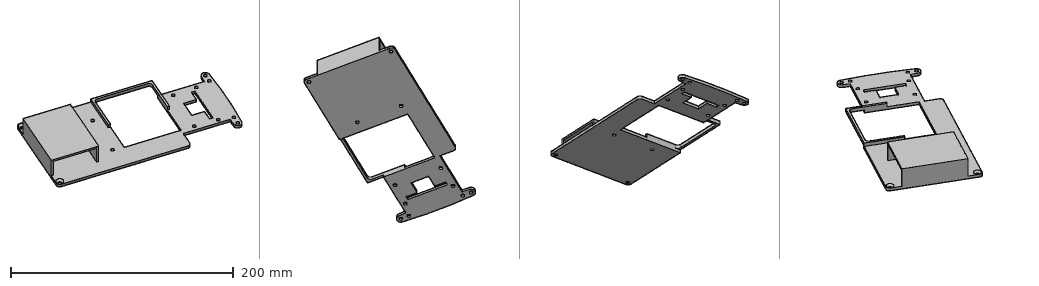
import cadquery as cq

plate_width = 90.0
plate_thickness = 3.0
corner_radius = 3.2
half_width = plate_width / 2

total_length = 187.0
neck_half_width = 28.0
lug_x = 35.0
lug_y = 181.8
lug_radius = 4.0
lug_root_y = 177.5

window_left = -42.6
window_right = 23.0
window_front = 75.5
window_back = 131.5
rim_width = 2.2
rim_right = -7.0
rim_top = 6.5
rim_corner_radius = 3.2

tunnel_width = 61.7
tunnel_depth = 46.8
tunnel_top = 21.5
tunnel_wall = 2.0

slot_half_width = 19.6
slot_back = 164.4
slot_step = 161.0
slot_front = 148.5
stem_half_width = 8.8

hole_diameter = 3.2
hole_pairs = [(lug_x, lug_y), (27.0, lug_y), (23.7, 167.7), (22.8, 144.5), (21.7, 64.5)]
corner_screw = (40.8, 4.0)
countersink_diameter = 7.1
countersink_angle = 90


def box(x_min, x_max, y_min, y_max, z_min, z_max):
    return cq.Workplane("XY").box(
        x_max - x_min, y_max - y_min, z_max - z_min, centered=False
    ).translate((x_min, y_min, z_min))


def mirrored(pairs):
    return [(side * x, y) for x, y in pairs for side in (-1, 1)]


def make_body():
    body = box(-half_width, half_width, 0, window_back, 0, plate_thickness)
    body = body.edges("|Z and (<Y or >X)").fillet(corner_radius)
    open_window = box(-half_width, window_right, window_front, window_back, 0, plate_thickness)
    return body.cut(open_window)


def make_neck():
    lug_front = lug_y - lug_radius
    lug_back = lug_y + lug_radius
    lug_end = lug_x + lug_radius
    return (
        cq.Workplane("XY")
        .moveTo(neck_half_width, window_back)
        .lineTo(neck_half_width, lug_root_y)
        .lineTo(lug_x, lug_front)
        .threePointArc((lug_end, lug_y), (lug_x, lug_back))
        .threePointArc((0, total_length), (-lug_x, lug_back))
        .threePointArc((-lug_end, lug_y), (-lug_x, lug_front))
        .lineTo(-neck_half_width, lug_root_y)
        .lineTo(-neck_half_width, window_back)
        .close()
        .extrude(plate_thickness)
    )


def make_slot():
    bar = box(-slot_half_width, slot_half_width, slot_step, slot_back, 0, plate_thickness)
    stem = box(-stem_half_width, stem_half_width, slot_front, slot_step, 0, plate_thickness)
    return bar.union(stem)


def make_rim():
    rim = box(-half_width, rim_right, window_front - rim_width, window_back + rim_width,
              plate_thickness, rim_top)
    opening = box(window_left, window_right, window_front, window_back, plate_thickness, rim_top)
    return rim.cut(opening.edges("|Z and <X").fillet(rim_corner_radius))


def make_tunnel():
    half_tunnel = tunnel_width / 2
    shell = box(-half_tunnel, half_tunnel, 0, tunnel_depth, plate_thickness, tunnel_top)
    passage = box(-half_tunnel, half_tunnel, tunnel_wall, tunnel_depth - tunnel_wall,
                  plate_thickness, tunnel_top - tunnel_wall)
    return shell.cut(passage)


def make_holes():
    centres = cq.Workplane("XY").pushPoints(mirrored(hole_pairs))
    return centres.circle(hole_diameter / 2).extrude(plate_thickness)


plate = make_body().union(make_neck()).cut(make_slot()).cut(make_holes())
plate = (
    plate.faces(">Z").workplane(origin=(0, 0, plate_thickness))
    .pushPoints(mirrored([corner_screw]))
    .cskHole(hole_diameter, countersink_diameter, countersink_angle)
)
result = plate.union(make_rim()).union(make_tunnel())